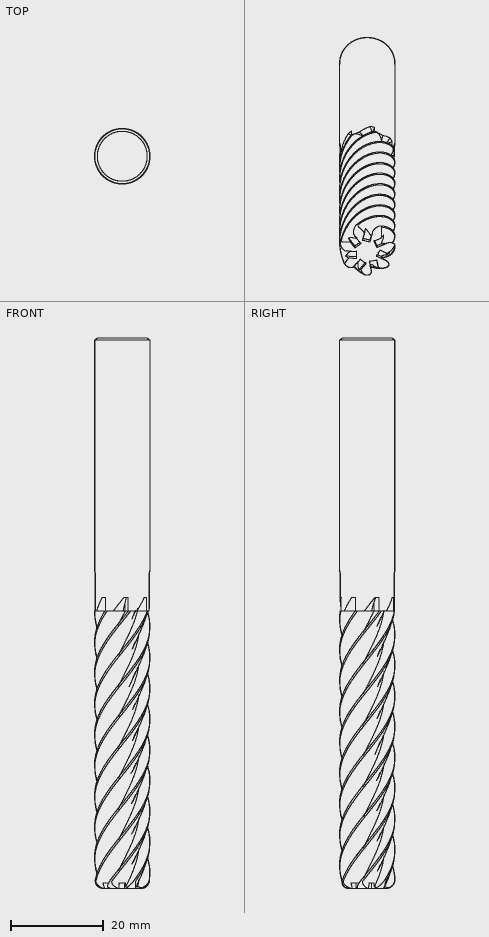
import cadquery as cq
import math

diameter = 12.0
radius = diameter / 2
overall_length = 119.0
cutting_length = 60.0
tip_corner_radius = 2.0

neck_radius = 5.85
neck_length = 8.1
neck_cone_length = 0.6
shank_chamfer_width = 0.6
shank_chamfer_height = 0.5

flute_count = 7
flute_pitch_angle = 360.0 / flute_count
helix_angle = 39.0
lead = math.pi * diameter / math.tan(math.radians(helix_angle))
twist_per_length = 360.0 / lead
edge_angle = 180.0
flute_angle = 32.6
floor_radius = 3.5
floor_angle = 10.0
root_radius = 3.75
rake_root_angle = 3.0
heel_root_angle = 17.0
runout_length = 2.9

margin_angle = 5.0
relief_start_radius = 5.95
back_angle = flute_pitch_angle - flute_angle
back_radius = 5.2

gash_width = 1.6
gash_depth = 1.2
gash_inner_radius = 2.3
tip_edge_angle = edge_angle - twist_per_length * cutting_length


def polar(r, angle):
    """Point at radius r and angle in degrees."""
    return (r * math.cos(math.radians(angle)), r * math.sin(math.radians(angle)))


def cutter_section():
    """Closed section of all teeth at the tip, so that the twist ends at edge_angle."""
    section = cq.Workplane("XY").moveTo(*polar(radius, tip_edge_angle))
    for tooth in range(flute_count):
        edge = tip_edge_angle + tooth * flute_pitch_angle
        next_edge = edge + flute_pitch_angle
        section = (
            section.lineTo(*polar(relief_start_radius, edge + margin_angle))
            .threePointArc(
                polar(back_radius, edge + back_angle),
                polar(root_radius, next_edge - heel_root_angle),
            )
            .threePointArc(
                polar(floor_radius, next_edge - floor_angle),
                polar(root_radius, next_edge - rake_root_angle),
            )
        )
        if tooth < flute_count - 1:
            section = section.lineTo(*polar(radius, next_edge))
    return section.close()


def make_end_gash(edge):
    """Radial notch in the tip face with one wall on the cutting edge."""
    gash = cq.Workplane("XY").box(radius, gash_width, gash_depth, centered=False)
    gash = gash.translate((gash_inner_radius, -gash_width, 0))
    return gash.rotate((0, 0, 0), (0, 0, 1), edge)


def make_cutter():
    """Fluted cutting end with a rounded tip corner and end gashes."""
    teeth = cutter_section().twistExtrude(cutting_length, twist_per_length * cutting_length)
    envelope = cq.Workplane("XY").circle(radius).extrude(cutting_length)
    envelope = envelope.faces("<Z").edges().fillet(tip_corner_radius)
    cutter = teeth.intersect(envelope)
    for tooth in range(flute_count):
        cutter = cutter.cut(make_end_gash(tip_edge_angle + tooth * flute_pitch_angle))
    return cutter


def flute_section(edge):
    """Section of one flute at the top of the cutting length, open past the outside of the neck."""
    return (
        cq.Workplane("XY")
        .workplane(offset=cutting_length)
        .moveTo(*polar(radius, edge))
        .lineTo(*polar(root_radius, edge - rake_root_angle))
        .threePointArc(
            polar(floor_radius, edge - floor_angle),
            polar(root_radius, edge - heel_root_angle),
        )
        .lineTo(*polar(radius, edge - flute_angle))
        .threePointArc(polar(radius, edge - flute_angle / 2), polar(radius, edge))
        .close()
    )


def make_flute_runout(edge):
    """Flute end with a helical heel side and a straight side above the cutting edge."""
    helical = flute_section(edge).twistExtrude(runout_length, twist_per_length * runout_length)
    straight = flute_section(edge).extrude(runout_length)
    return helical.intersect(straight)


def make_shank():
    """Round shank with a chamfered end and a neck that carries the flute run-outs."""
    neck_top = cutting_length + neck_length
    shank = (
        cq.Workplane("XZ")
        .moveTo(0, cutting_length)
        .lineTo(neck_radius, cutting_length)
        .lineTo(neck_radius, neck_top)
        .lineTo(radius, neck_top + neck_cone_length)
        .lineTo(radius, overall_length - shank_chamfer_height)
        .lineTo(radius - shank_chamfer_width, overall_length)
        .lineTo(0, overall_length)
        .close()
        .revolve(360, (0, 0, 0), (0, 1, 0))
    )
    for flute in range(flute_count):
        shank = shank.cut(make_flute_runout(edge_angle + flute * flute_pitch_angle))
    return shank


cutter = make_cutter()
shank = make_shank()
result = cq.Compound.makeCompound([cutter.val(), shank.val()])